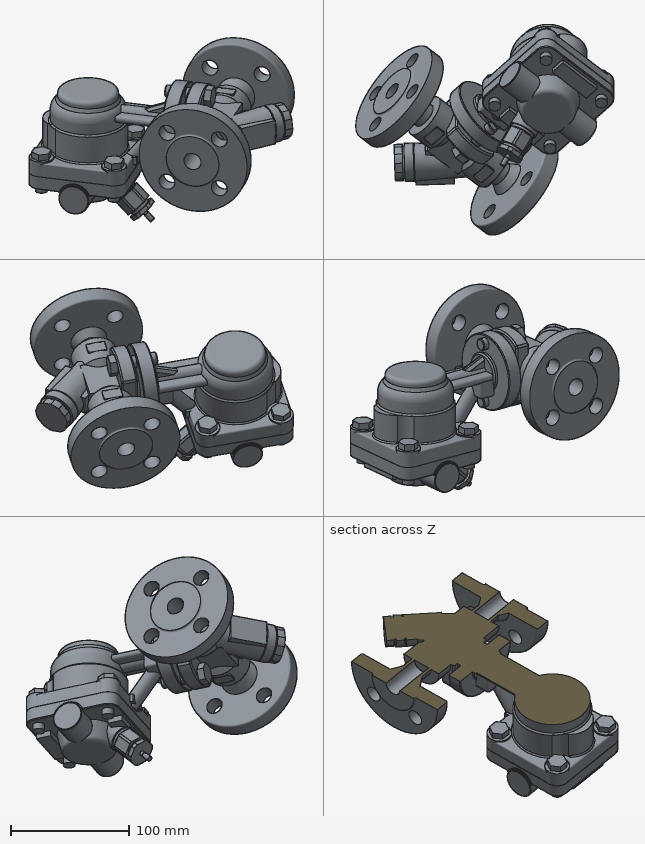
import cadquery as cq
import math


face_to_face = 150.0
raised_face_height = 2.0
raised_face_radius = 23.2
raised_face_root_radius = 1.5
pipe_flange_radius = 47.5
pipe_flange_thickness = 14.0
flange_edge_fillet = 1.5
flange_bolt_circle_radius = 32.5
flange_hole_diameter = 14.0
pipe_radius = 21.7 / 2
bore_diameter = 15.0
neck_side = {1: (16.5, 10.0), -1: (15.6, 8.0)}

body_radius = 39.0 / 2
body_end = {1: 37.5, -1: -41.7}
body_collar_length = {1: 20.0, -1: 24.5}
body_shoulder_length = 5.5
body_core_x = (-10.0, 17.5)
body_core_half_height = 14.5
wrench_pad_length = 10.0
wrench_pad_width = 16.4
wrench_pad_center_y = {1: 26.3, -1: -31.0}
wrench_pad_corner = 1.5

joint_radius = 67.0 / 2
joint_edge = 0.8
trap_plate_x = (-39.5, -26.5)
body_plate_x = (-23.0, -9.3)
body_plate_half_width = 22.0
body_plate_edge = 1.4
spigot_edge = 1.5
joint_spigot_radius = 35.0 / 2
joint_bolt_z = 25.8
joint_bolt_radius = 10.5 / 2
joint_bolt_head_height = 5.3
joint_nut_height = 6.1
joint_nut_flats = 16.0

strainer_axis_x = 29.5
strainer_radius = 16.3
strainer_root_radius = 13.5
strainer_start = -18.0
strainer_end = 36.5
strainer_ring_radius = 16.3
strainer_ring_end = 45.0
strainer_neck_radius = 14.0
plug_start = 46.6
plug_end = 53.4
plug_flats = 30.0
plug_turned_radius = 15.55
plug_turn_angle = 13.0
strainer_pad = (3.6, 36.2)
strainer_pad_half_width = 11.0
strainer_pad_distance = 16.2
strainer_rib = (12.0, 27.0)
strainer_rib_half_width = 9.0
strainer_rib_distance = 17.5

trap_x = -113.4
trap_half_width = 42.5
cover_half_width = 42.2
base_edge = 0.8
trap_corner_radius = 10.7
cover_top_z = -36.0
parting_z = -48.7
base_bottom_z = -60.8
cover_edge = 1.5
trap_bolt_pitch = 64.0
trap_bolt_pad_radius = 21.0 / 2
trap_bolt_pad_height = 1.2
trap_bolt_head_height = 5.6
trap_bolt_head_corners = 17.0
trap_bolt_radius = 5.0
trap_bolt_end_z = -66.7

housing_radius = 33.6
housing_top_z = -10.8
housing_step_z = -9.2
bulge_radius = 20.0
bulge_reach = 39.2
bulge_notch_radius = 12.0
bulge_notch_offset = (-33.2, 27.8)
housing_root_flare = 1.2
dome_radius = 32.2
dome_shoulder_z = 0.5
dome_neck_z = 8.8
dome_neck_radius = 27.6
dome_cap_z = 12.2
dome_cap_radius = 26.0
dome_top_z = 18.0
dome_top_fillet = 3.8

bowl_top_radius = 26.8
bowl_bottom_radius = 22.5
bowl_bottom_z = -78.6
bowl_fillet = 4.0
lug_reach = 39.5
lug_length = 13.0
lug_half_width = 19.7
lug_bottom_z = -65.9
port_radius = 13.1
port_half_length = 44.6
port_collar_radius = 14.2
port_chamfer = 0.6

drain_x = -79.7
drain_z = -74.3
drain_boss_radius = 12.0
drain_boss_start = -22.0
drain_boss_end = -3.2
drain_washer_radius = 10.6
drain_washer_end = -0.8
drain_neck_radius = 9.0
drain_hex_flats = 21.8
drain_turned_radius = 12.0
drain_hex_end = 15.0
drain_nut_flats = 22.5
drain_nut_start = 18.0
drain_nut_end = 21.8
drain_stem_neck_radius = 2.0
drain_stem_radius = 2.3
drain_stem_start = 25.0
drain_stem_end = 32.5

arm_tube_radius = 7.2
arm_web_half_width = 15.9
arm_web_center_z = 0.2
arm_web_thickness = 6.4
arm_end_x = -43.2
gusset_start_x = -62.7
gusset_half_width = 4.0
gusset_top_z = 15.5
gusset_chamfer = 2.5
elbow_x = (-56.0, -42.0)
elbow_bottom_z = -17.0
elbow_half_width = 15.5
elbow_fillet = 2.5
return_pipe_radius = 6.7
return_pipe_top = (-48.5, -8.7)
return_pipe_bottom = (-75.0, -42.5)
return_lug_x = -68.2
return_lug_half_width = 9.0
return_lug_bottom_z = -43.0

STRAINER_DIRECTION = cq.Vector(1, 1, 0).normalized()
DRAIN_DIRECTION = cq.Vector(1, 0, -1).normalized()
X_DIRECTION = cq.Vector(1, 0, 0)


def block(x, y, z):
    """Box between the given (low, high) limits."""
    size = cq.Workplane("XY").box(x[1] - x[0], y[1] - y[0], z[1] - z[0], centered=False)
    return size.translate((x[0], y[0], z[0]))


def rod(radius, origin, direction, start, end):
    """Cylinder between two distances along an axis."""
    base = cq.Vector(*origin) + direction * start
    return cq.Workplane(cq.Solid.makeCylinder(radius, end - start, base, direction))


def hexagon(flats, origin, direction, start, end, flat_normal):
    """Hexagonal prism with one pair of flats facing flat_normal."""
    base = cq.Vector(*origin) + direction * start
    corner_direction = cq.Vector(*flat_normal)
    plane = cq.Plane(origin=base.toTuple(), xDir=corner_direction.toTuple(), normal=direction.toTuple())
    across_corners = flats / math.cos(math.pi / 6)
    return (
        cq.Workplane(plane)
        .transformed(rotate=(0, 0, 30))
        .polygon(6, across_corners)
        .extrude(end - start)
    )


def turned_about_z(profile):
    """Solid of revolution of an X-Z half profile about the trap axis."""
    return profile.close().revolve(360, (0, 0, 0), (0, 1, 0)).translate((trap_x, 0, 0))


def trap_bolt_points():
    half = trap_bolt_pitch / 2
    return [(trap_x + sx * half, sy * half) for sx in (-1, 1) for sy in (-1, 1)]


def pipe_end(side):
    """Raised-face flange, welding neck, pipe and body collar on one side of Y."""
    cone_root_radius, cone_length = neck_side[side]
    face = face_to_face / 2
    front = face - raised_face_height
    back = front - pipe_flange_thickness
    collar_end = abs(body_end[side])
    root = raised_face_root_radius
    profile = (
        cq.Workplane("XY")
        .moveTo(0, face)
        .lineTo(raised_face_radius, face)
        .lineTo(raised_face_radius, front + root)
        .radiusArc((raised_face_radius + root, front), -root)
        .lineTo(pipe_flange_radius, front)
        .lineTo(pipe_flange_radius, back + flange_edge_fillet)
        .radiusArc((pipe_flange_radius - flange_edge_fillet, back), flange_edge_fillet)
        .lineTo(cone_root_radius, back)
        .lineTo(pipe_radius, back - cone_length)
        .lineTo(pipe_radius, collar_end)
        .lineTo(body_radius, collar_end)
        .lineTo(body_radius, collar_end - body_collar_length[side])
        .lineTo(body_core_half_height, collar_end - body_collar_length[side] - body_shoulder_length)
        .lineTo(0, collar_end - body_collar_length[side] - body_shoulder_length)
        .close()
    )
    solid = profile.revolve(360, (0, 0, 0), (0, 1, 0))
    hole_offset = flange_bolt_circle_radius * math.sqrt(0.5)
    holes = (
        cq.Workplane("XZ", origin=(0, face, 0))
        .rect(2 * hole_offset, 2 * hole_offset, forConstruction=True)
        .vertices()
        .circle(flange_hole_diameter / 2)
        .extrude(face - back + raised_face_height)
    )
    bore = cq.Workplane("XZ", origin=(0, face, 0)).circle(bore_diameter / 2).extrude(face - collar_end)
    solid = solid.cut(holes).cut(bore)
    if side < 0:
        solid = solid.mirror("XZ")
    pads = (
        cq.Workplane("XY")
        .box(wrench_pad_width, wrench_pad_length, 2 * body_radius)
        .edges("|Z")
        .fillet(wrench_pad_corner)
        .translate((0, wrench_pad_center_y[side], 0))
    )
    return solid.union(pads)


def body_core():
    """Flat-sided middle of the connector body."""
    half_length = body_end[1] - body_collar_length[1]
    return block(
        body_core_x,
        (-half_length, half_length),
        (-body_core_half_height, body_core_half_height),
    )


def connector_joint():
    """Swivel flange, body flange, spigot between them and the two joint bolts."""
    trap_plate = rod(joint_radius, (0, 0, 0), X_DIRECTION, *trap_plate_x).edges().chamfer(joint_edge)
    flats = block(
        body_plate_x,
        (-body_plate_half_width, body_plate_half_width),
        (-joint_radius, joint_radius),
    )
    body_plate = rod(joint_radius, (0, 0, 0), X_DIRECTION, *body_plate_x).intersect(flats)
    body_plate = body_plate.edges().chamfer(body_plate_edge)
    joint = trap_plate.union(body_plate)
    spigot = rod(joint_spigot_radius, (0, 0, 0), X_DIRECTION, arm_end_x, body_plate_x[0])
    joint = joint.union(spigot.faces("<X").chamfer(spigot_edge))
    for z in (-joint_bolt_z, joint_bolt_z):
        center = (0, 0, z)
        head_x = trap_plate_x[0] - joint_bolt_head_height
        bolt = rod(joint_bolt_radius, center, X_DIRECTION, head_x, body_plate_x[0])
        bolt = bolt.faces("<X").chamfer(joint_edge)
        nut_x = body_plate_x[1]
        nut = hexagon(joint_nut_flats, center, X_DIRECTION, nut_x, nut_x + joint_nut_height, (0, 0, 1))
        joint = joint.union(bolt).union(nut)
    return joint


def strainer():
    """Strainer branch with its wrench pad, opposite rib, sealing ring and hexagonal plug."""
    origin = (strainer_axis_x / 2, -strainer_axis_x / 2, 0)
    along = STRAINER_DIRECTION
    branch = cq.Workplane(
        cq.Solid.makeCone(
            strainer_root_radius,
            strainer_radius,
            strainer_end - strainer_start,
            cq.Vector(*origin) + along * strainer_start,
            along,
        )
    )
    neck = rod(strainer_neck_radius, origin, along, strainer_end, plug_start)
    ring = rod(strainer_ring_radius, origin, along, strainer_end + joint_edge, strainer_ring_end)
    pad = block(
        strainer_pad,
        (-strainer_pad_distance, 0),
        (-strainer_pad_half_width, strainer_pad_half_width),
    )
    rib = block(
        strainer_rib,
        (0, strainer_rib_distance),
        (-strainer_rib_half_width, strainer_rib_half_width),
    )
    pad = pad.union(rib).rotate((0, 0, 0), (0, 0, 1), 45).translate(origin)
    turn = math.radians(plug_turn_angle)
    across = math.cos(turn) * math.sqrt(0.5)
    plug = hexagon(plug_flats, origin, along, plug_start, plug_end, (across, -across, math.sin(turn)))
    plug = plug.intersect(rod(plug_turned_radius, origin, along, plug_start, plug_end))
    return branch.union(neck).union(ring).union(pad).union(plug)


def trap_flanges():
    """Square cover and base with the bolt pads and bolts at the corners."""
    def square(bottom, top, half_width):
        return (
            cq.Workplane("XY", origin=(trap_x, 0, bottom))
            .rect(2 * half_width, 2 * half_width)
            .extrude(top - bottom)
            .edges("|Z")
            .fillet(trap_corner_radius)
        )

    cover = square(parting_z, cover_top_z, cover_half_width).faces(">Z").edges().fillet(cover_edge)
    base = square(base_bottom_z, parting_z, trap_half_width).faces("<Z").edges().chamfer(base_edge)
    flanges = cover.union(base)
    up = cq.Vector(0, 0, 1)
    pad_top_z = cover_top_z + trap_bolt_pad_height
    head_top_z = pad_top_z + trap_bolt_head_height
    head_flats = trap_bolt_head_corners * math.cos(math.pi / 6)
    for x, y in trap_bolt_points():
        center = (x, y, 0)
        pad = rod(trap_bolt_pad_radius, center, up, parting_z, pad_top_z)
        head = hexagon(head_flats, center, up, pad_top_z, head_top_z, (1, 0, 0))
        bolt = rod(trap_bolt_radius, center, up, trap_bolt_end_z, base_bottom_z)
        flanges = flanges.union(pad).union(head).union(bolt)
    return flanges


def housing():
    """Cover housing with a bulge on the -X side, with a hollow at each flank."""
    height = housing_top_z - cover_top_z
    up = cq.Vector(0, 0, 1)
    outline = cq.Workplane("XY")
    for radius, x in ((housing_radius, trap_x), (bulge_radius, trap_x + bulge_radius - bulge_reach)):
        base = cq.Vector(x, 0, cover_top_z)
        root_radius = radius + housing_root_flare
        outline = outline.union(rod(radius, base.toTuple(), up, 0, height))
        outline = outline.union(cq.Workplane(cq.Solid.makeCone(root_radius, radius, housing_root_flare, base, up)))
    notch_x = trap_x + bulge_notch_offset[0]
    notch_y = bulge_notch_offset[1]
    notches = (
        cq.Workplane("XY", origin=(0, 0, cover_top_z))
        .pushPoints([(notch_x, -notch_y), (notch_x, notch_y)])
        .circle(bulge_notch_radius)
        .extrude(height)
    )
    return outline.cut(notches)


def dome():
    """Stepped dome above the housing."""
    fillet = dome_top_fillet
    shoulder_middle = (dome_radius - 1.6, (dome_shoulder_z + dome_neck_z) / 2 + 0.8)
    profile = (
        cq.Workplane("XZ")
        .moveTo(0, housing_top_z)
        .lineTo(housing_radius, housing_top_z)
        .lineTo(dome_radius, housing_step_z)
        .lineTo(dome_radius, dome_shoulder_z)
        .threePointArc(shoulder_middle, (dome_neck_radius, dome_neck_z))
        .lineTo(dome_cap_radius, dome_cap_z)
        .lineTo(dome_cap_radius, dome_top_z - fillet)
        .radiusArc((dome_cap_radius - fillet, dome_top_z), -fillet)
        .lineTo(0, dome_top_z)
    )
    return turned_about_z(profile)


def bowl():
    """Tapered bowl, its end lugs and the two side ports."""
    profile = (
        cq.Workplane("XZ")
        .moveTo(0, base_bottom_z)
        .lineTo(bowl_top_radius, base_bottom_z)
        .lineTo(bowl_bottom_radius, bowl_bottom_z)
        .lineTo(0, bowl_bottom_z)
    )
    cup = turned_about_z(profile).faces("<Z").edges().fillet(bowl_fillet)
    for side in (-1, 1):
        lug = block(
            (lug_reach - lug_length, lug_reach),
            (-lug_half_width, lug_half_width),
            (lug_bottom_z, base_bottom_z),
        )
        cup = cup.union(lug.translate((trap_x - (lug_reach - lug_length / 2) * (1 - side), 0, 0)))
    port_z = bowl_bottom_z + port_radius
    center = (trap_x, 0, port_z)
    along = cq.Vector(0, 1, 0)
    ports = rod(port_radius, center, along, -port_half_length, port_half_length)
    ports = ports.faces("<Y or >Y").chamfer(port_chamfer)
    collar = rod(port_collar_radius, center, along, -trap_half_width - port_chamfer, trap_half_width + port_chamfer)
    above_bolt_line = block(
        (trap_x - trap_half_width, trap_x + trap_half_width),
        (-port_half_length, port_half_length),
        (base_bottom_z, parting_z),
    )
    return cup.union(ports).union(collar.intersect(above_bolt_line))


def drain_valve():
    """Boss, hexagon body, hexagon nut and stem of the drain valve."""
    origin = (drain_x, 0, drain_z)
    along = DRAIN_DIRECTION
    flat_normal = (math.sqrt(0.5), 0, math.sqrt(0.5))
    body = hexagon(drain_hex_flats, origin, along, 0, drain_hex_end, flat_normal)
    nut = hexagon(drain_nut_flats, origin, along, drain_nut_start, drain_nut_end, flat_normal)
    turned = rod(drain_turned_radius, origin, along, 0, drain_nut_end)
    valve = rod(drain_boss_radius, origin, along, drain_boss_start, drain_boss_end)
    valve = valve.union(rod(drain_washer_radius, origin, along, drain_boss_end, drain_washer_end))
    valve = valve.union(rod(drain_neck_radius, origin, along, drain_boss_end, drain_nut_start))
    valve = valve.union(body.union(nut).intersect(turned))
    valve = valve.union(rod(drain_stem_neck_radius, origin, along, drain_nut_end, drain_stem_start))
    return valve.union(rod(drain_stem_radius, origin, along, drain_stem_start, drain_stem_end))


def arm():
    """Finned tube from the dome to the joint, with gusset, elbow and return pipe."""
    tube = rod(arm_tube_radius, (0, 0, 0), X_DIRECTION, trap_x, arm_end_x)
    web = (
        cq.Workplane("YZ", origin=(trap_x, 0, arm_web_center_z))
        .slot2D(2 * arm_web_half_width, arm_web_thickness)
        .extrude(arm_end_x - trap_x)
    )
    gusset = (
        cq.Workplane("XZ")
        .moveTo(gusset_start_x, arm_tube_radius)
        .lineTo(arm_end_x, gusset_top_z)
        .lineTo(arm_end_x, 0)
        .lineTo(gusset_start_x, 0)
        .close()
        .extrude(gusset_half_width, both=True)
        .edges("not (|X or |Y or |Z)")
        .chamfer(gusset_chamfer)
    )
    elbow = block(elbow_x, (-elbow_half_width, elbow_half_width), (elbow_bottom_z, 0))
    elbow = elbow.edges("<X or <Z").fillet(elbow_fillet)
    run = return_pipe_top[0] - return_pipe_bottom[0]
    rise = return_pipe_top[1] - return_pipe_bottom[1]
    length = math.hypot(run, rise)
    direction = cq.Vector(run, 0, rise).normalized()
    start = (return_pipe_bottom[0], 0, return_pipe_bottom[1])
    pipe = rod(return_pipe_radius, start, direction, 0, length)
    lug = block(
        (return_pipe_bottom[0], return_lug_x),
        (-return_lug_half_width, return_lug_half_width),
        (return_lug_bottom_z, cover_top_z),
    )
    return tube.union(web).union(gusset).union(elbow).union(pipe).union(lug)


result = pipe_end(1).union(pipe_end(-1)).union(body_core()).union(connector_joint())
result = result.union(strainer()).union(arm()).union(trap_flanges()).union(housing())
result = result.union(dome()).union(bowl()).union(drain_valve())